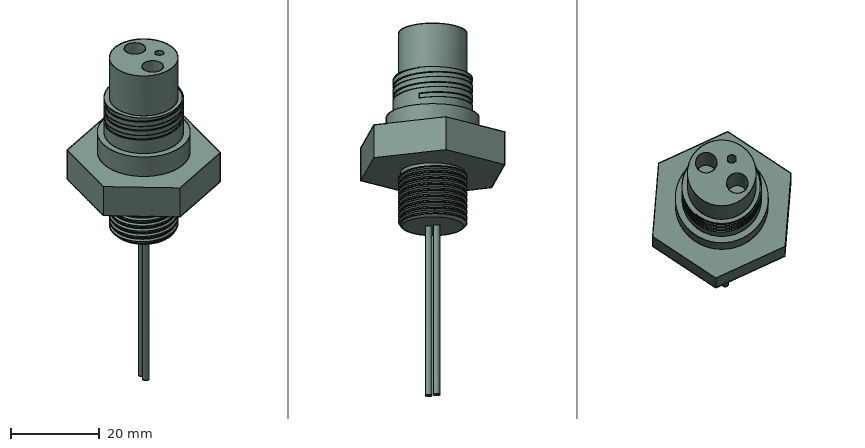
import cadquery as cq
import math

wire_length = 40.0
lower_thread_length = 12.7
nut_height = 7.8
collar_height = 5.2
sleeve_height = 9.3
insert_height = 10.7

lower_end_z = wire_length
nut_z = lower_end_z + lower_thread_length
collar_z = nut_z + nut_height
sleeve_z = collar_z + collar_height
insert_z = sleeve_z + sleeve_height
top_z = insert_z + insert_height

nut_sides = 6
nut_across_flats = 30.0
collar_diameter = 21.0
sleeve_diameter = 18.0
insert_diameter = 15.5

lower_major_diameter = 15.5
lower_core_diameter = 14.64
inch = 25.4
lower_threads_per_inch = 18
lower_pitch = inch / lower_threads_per_inch
lower_turns = 8.9
lower_start_below_end = 0.24
lower_chamfer = 0.9
ridge_root_width = 1.1
ridge_crest_width = 0.35

groove_pitch = 2.4
groove_turns = 3.0
groove_bottom_z = insert_z - 6.7
groove_start_angle = 90.0
groove_depth = 0.3
groove_mouth_width = 1.15
groove_floor_width = 1.0

socket_diameter = 4.8
socket_offset = 4.25
key_hole_diameter = 2.0
key_hole_offset = 4.0
hole_depth = 10.0

wire_diameter = 1.5
wire_spacing = 1.9

overlap = 0.1


def cylinder(diameter, height, base_z, x=0.0, y=0.0):
    """Upright cylinder standing on base_z."""
    return cq.Workplane("XY", origin=(x, y, base_z)).circle(diameter / 2).extrude(height)


def helical_bar(inner_radius, inner_width, outer_radius, outer_width, pitch, turns):
    """Trapezoid section swept up a right-hand helix that starts on +X at Z = 0."""
    path = cq.Wire.makeHelix(pitch, pitch * turns, (inner_radius + outer_radius) / 2)
    section = cq.Workplane("XZ").polyline(
        [
            (inner_radius, -inner_width / 2),
            (outer_radius, -outer_width / 2),
            (outer_radius, outer_width / 2),
            (inner_radius, inner_width / 2),
        ]
    ).close()
    return section.sweep(cq.Workplane(obj=path), isFrenet=True)


def make_lower_thread():
    """Threaded stud below the nut, chamfered at its free end."""
    core = cylinder(lower_core_diameter, lower_thread_length, lower_end_z)
    flank_slope = (ridge_root_width - ridge_crest_width) / (lower_major_diameter - lower_core_diameter)
    ridge = helical_bar(
        lower_core_diameter / 2 - overlap,
        ridge_root_width + 2 * overlap * flank_slope,
        lower_major_diameter / 2,
        ridge_crest_width,
        lower_pitch,
        lower_turns,
    ).translate((0, 0, lower_end_z - lower_start_below_end))
    envelope = cylinder(lower_major_diameter + 2 * overlap, lower_thread_length, lower_end_z)
    envelope = envelope.faces("<Z").chamfer(lower_chamfer)
    return core.union(ridge).intersect(envelope)


def make_sleeve():
    """Sleeve above the collar with its helical groove."""
    sleeve = cylinder(sleeve_diameter, sleeve_height, sleeve_z)
    flank_slope = (groove_mouth_width - groove_floor_width) / groove_depth
    groove = helical_bar(
        sleeve_diameter / 2 - groove_depth,
        groove_floor_width,
        sleeve_diameter / 2 + overlap,
        groove_mouth_width + overlap * flank_slope,
        groove_pitch,
        groove_turns,
    )
    groove = groove.rotate((0, 0, 0), (0, 0, 1), groove_start_angle)
    return sleeve.cut(groove.translate((0, 0, groove_bottom_z)))


def make_nut():
    """Hexagon with two corners on the X axis."""
    across_corners = nut_across_flats / math.cos(math.pi / nut_sides)
    return cq.Workplane("XY", origin=(0, 0, nut_z)).polygon(nut_sides, across_corners).extrude(nut_height)


def make_insert():
    """Plain insert with two contact sockets and a small key hole in its top face."""
    insert = cylinder(insert_diameter, insert_height, insert_z)
    hole_z = top_z - hole_depth
    for side in (-1, 1):
        insert = insert.cut(cylinder(socket_diameter, hole_depth, hole_z, x=side * socket_offset))
    return insert.cut(cylinder(key_hole_diameter, hole_depth, hole_z, y=key_hole_offset))


result = make_nut().union(cylinder(collar_diameter, collar_height, collar_z))
result = result.union(make_sleeve()).union(make_insert()).union(make_lower_thread())
for wire_side in (-1, 1):
    result = result.union(cylinder(wire_diameter, wire_length, 0, x=wire_side * wire_spacing / 2))